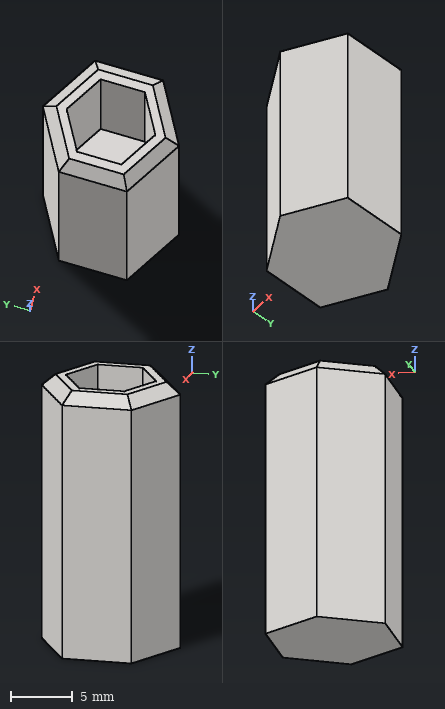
import cadquery as cq
import math

body_across_flats = 10.0
body_height = 22.5
top_chamfer = 1.0
socket_across_flats = 6.5
socket_depth = 12.0

HEX_SIDES = 6
CORNER_TURN = 90.0


def hex_prism(across_flats, height):
    """Upright hexagonal prism standing on Z = 0, with two flats facing +X and -X."""
    across_corners = across_flats / math.cos(math.pi / HEX_SIDES)
    prism = cq.Workplane("XY").polygon(HEX_SIDES, across_corners).extrude(height)
    return prism.rotate((0, 0, 0), (0, 0, 1), CORNER_TURN)


def make_body():
    """Outer hexagon with its top rim chamfered."""
    return hex_prism(body_across_flats, body_height).faces(">Z").chamfer(top_chamfer)


def make_socket():
    """Blind hexagonal socket, open at the top."""
    socket_floor = body_height - socket_depth
    return hex_prism(socket_across_flats, socket_depth).translate((0, 0, socket_floor))


result = make_body().cut(make_socket())